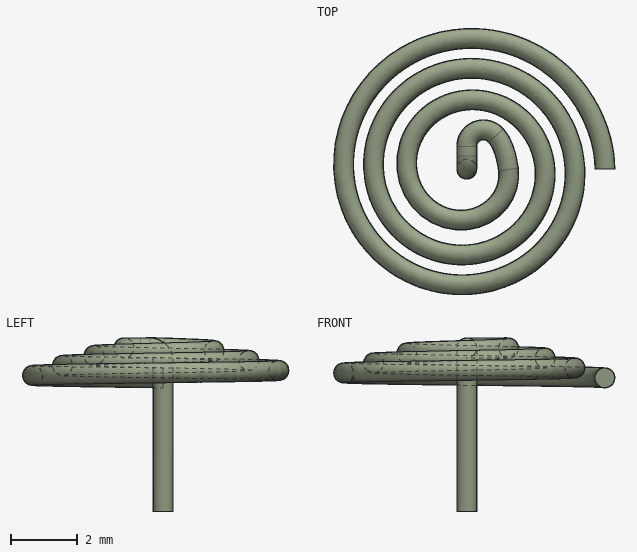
import cadquery as cq
import math

wire_radius = 0.3

turn_radii = [1.25, 2.35, 3.25, 4.15]
rise_per_turn = 0.3
turns = len(turn_radii) - 1
spiral_top_z = rise_per_turn * turns
points_per_turn = 16

bridge_z = spiral_top_z
elbow_radius = 0.4
straight_end_y = 0.68
hook_radius = 0.5
hook_end_angle = math.radians(41)

foot_z = -4.02


def spiral_point(turn):
    """Centreline point after the given number of clockwise turns from the inner end."""
    inner_turn = min(int(turn), turns - 1)
    inner_radius = turn_radii[inner_turn]
    pitch = turn_radii[inner_turn + 1] - inner_radius
    radius = inner_radius + pitch * (turn - inner_turn)
    angle = -2 * math.pi * turn
    z = spiral_top_z - rise_per_turn * turn
    return cq.Vector(radius * math.cos(angle), radius * math.sin(angle), z)


def inner_spiral_tangent():
    """Unit direction of the clockwise, outward and descending spiral at its inner end on +X."""
    pitch = turn_radii[1] - turn_radii[0]
    return cq.Vector(pitch, -2 * math.pi * turn_radii[0], -rise_per_turn).normalized()


def hook_point(angle):
    """Point of the level hook arc at the given angle from +X."""
    x = hook_radius + hook_radius * math.cos(angle)
    y = straight_end_y + hook_radius * math.sin(angle)
    return cq.Vector(x, y, bridge_z)


def centreline():
    """Path from the foot of the post, over the hook and out along the spiral."""
    foot = cq.Vector(0, 0, foot_z)
    post_top = cq.Vector(0, 0, bridge_z - elbow_radius)
    elbow_end = cq.Vector(0, elbow_radius, bridge_z)
    hook_start = hook_point(math.pi)
    hook_mid = hook_point((math.pi + hook_end_angle) / 2)
    hook_end = hook_point(hook_end_angle)
    hook_tangent = cq.Vector(math.sin(hook_end_angle), -math.cos(hook_end_angle), 0)

    inner_tangent = inner_spiral_tangent()
    outer_tangent = cq.Vector(0, -1, 0)
    spiral = [spiral_point(i / points_per_turn) for i in range(turns * points_per_turn + 1)]

    return cq.Wire.assembleEdges([
        cq.Edge.makeLine(foot, post_top),
        cq.Edge.makeTangentArc(post_top, cq.Vector(0, 0, 1), elbow_end),
        cq.Edge.makeLine(elbow_end, hook_start),
        cq.Edge.makeThreePointArc(hook_start, hook_mid, hook_end),
        cq.Edge.makeSpline([hook_end, spiral[0]], tangents=[hook_tangent, inner_tangent], scale=False),
        cq.Edge.makeSpline(spiral, tangents=[inner_tangent, outer_tangent], scale=False),
    ])


def coil():
    """Round wire swept along the whole centreline."""
    section = cq.Workplane("XY", origin=(0, 0, foot_z)).circle(wire_radius)
    return section.sweep(cq.Workplane(obj=centreline()))


result = coil()